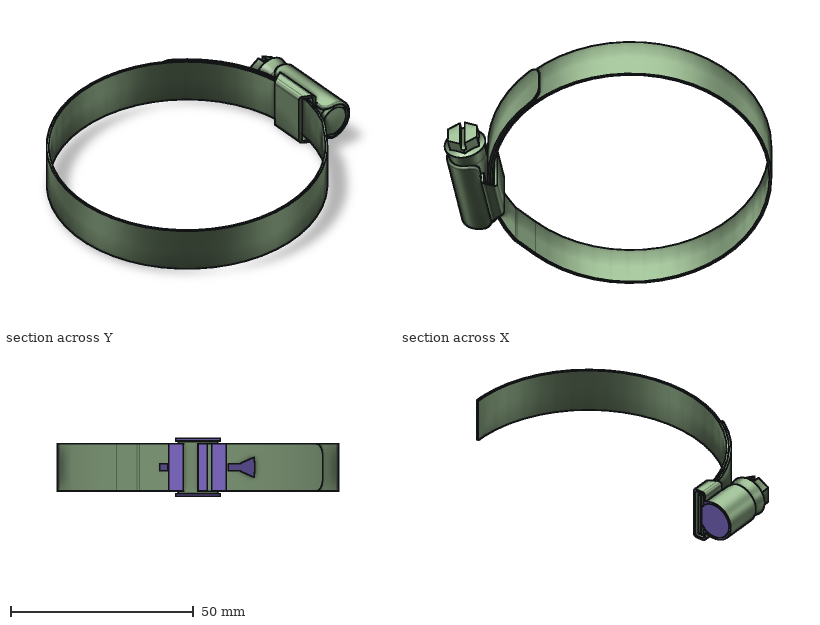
import cadquery as cq
import math


band_width = 13.0
band_thickness = 0.6
ring_outer_radius = 38.5
layer_gap = 0.1
inner_end_angle = 90.0
tail_end_angle = 150.6
straight_start_angle = 54.4
bend_radius = 3.5
tail_corner_radius = 3.5

ring_inner_radius = ring_outer_radius - band_thickness
tail_inner_radius = ring_outer_radius + layer_gap
tail_outer_radius = tail_inner_radius + band_thickness

overall_length = 87.7
dome_radius = 5.9
sheet_thickness = 0.8
dome_length = 23.1
dome_corner_radius = 2.6
dome_edge_radius = 0.5
strap_height = 16.0
strap_top = 40.4
strap_bottom = 36.2
strap_corner_radius = 1.1
strap_top_length = 14.6
strap_bottom_length = 10.0

screw_axis_y = overall_length - ring_outer_radius - dome_radius
screw_radius = dome_radius - sheet_thickness
dome_end_x = dome_length / 2

head_front_x = -19.2
collar_front_x = -16.05
collar_rim_x = -15.35
collar_back_x = -dome_end_x
tip_start_x = 10.4
collar_front_radius = 3.95
collar_rim_radius = 5.7
tip_radius = 4.3
hex_sides = 6
hex_across_flats = 8.1
slot_width = 1.3
slot_depth = 2.2


def polar(radius, angle):
    """Point in the XY plane at an angle in degrees from +X."""
    return (radius * math.cos(math.radians(angle)), radius * math.sin(math.radians(angle)))


def bend_angle(ring_radius, tail_radius):
    """Angle at which the straight stretch, tangent to the ring, reaches the tail circle."""
    return straight_start_angle + math.degrees(math.acos(ring_radius / tail_radius))


def make_band():
    outer_bend = bend_angle(ring_outer_radius, tail_outer_radius)
    inner_bend = bend_angle(ring_inner_radius, tail_inner_radius)
    ring_middle_angle = -90.0
    tail_middle_angle = 110.0
    full_turn = 360.0
    band = (
        cq.Workplane("XY", origin=(0, 0, -band_width / 2))
        .moveTo(*polar(tail_outer_radius, tail_end_angle))
        .threePointArc(polar(tail_outer_radius, tail_middle_angle), polar(tail_outer_radius, outer_bend))
        .lineTo(*polar(ring_outer_radius, straight_start_angle))
        .threePointArc(
            polar(ring_outer_radius, ring_middle_angle),
            polar(ring_outer_radius, inner_end_angle - full_turn),
        )
        .lineTo(*polar(ring_inner_radius, inner_end_angle))
        .threePointArc(
            polar(ring_inner_radius, ring_middle_angle),
            polar(ring_inner_radius, straight_start_angle),
        )
        .lineTo(*polar(tail_inner_radius, inner_bend))
        .threePointArc(polar(tail_inner_radius, tail_middle_angle), polar(tail_inner_radius, tail_end_angle))
        .close()
        .extrude(band_width)
    )

    outer_edge = cq.selectors.NearestToPointSelector((*polar(tail_outer_radius, outer_bend), 0))
    band = band.edges("|Z").edges(outer_edge).fillet(bend_radius + band_thickness)
    inner_edge = cq.selectors.NearestToPointSelector((*polar(tail_inner_radius, inner_bend), 0))
    band = band.edges("|Z").edges(inner_edge).fillet(bend_radius)

    tail_middle_radius = (tail_inner_radius + tail_outer_radius) / 2
    for side in (-1, 1):
        corner = (*polar(tail_middle_radius, tail_end_angle), side * band_width / 2)
        band = band.edges(cq.selectors.NearestToPointSelector(corner)).fillet(tail_corner_radius)
    return band


def along_x(start_x, length, radius):
    """Cylinder on the screw axis."""
    return (
        cq.Workplane("YZ", origin=(start_x, 0, 0))
        .center(screw_axis_y, 0)
        .circle(radius)
        .extrude(length)
    )


def make_dome():
    """Round cover with an open bottom; its lower corners are rounded in side outline."""
    cover_height = overall_length - ring_outer_radius - strap_top
    outline = (
        cq.Workplane("XY")
        .center(0, strap_top + cover_height / 2)
        .rect(dome_length, cover_height)
        .extrude(dome_radius, both=True)
        .edges("|Z and <Y")
        .fillet(dome_corner_radius)
    )
    return along_x(-dome_end_x, dome_length, dome_radius).intersect(outline)


def make_strap():
    """Closed rectangular loop, tapering towards the underside of the band."""
    height_y = strap_top - strap_bottom
    middle_y = (strap_top + strap_bottom) / 2
    loop = (
        cq.Workplane("YZ")
        .center(middle_y, 0)
        .rect(height_y, strap_height)
        .extrude(strap_top_length / 2, both=True)
        .edges("|X")
        .fillet(strap_corner_radius)
    )
    opening = (
        cq.Workplane("YZ")
        .center(middle_y, 0)
        .rect(height_y - 2 * sheet_thickness, strap_height - 2 * sheet_thickness)
        .extrude(strap_top_length / 2, both=True)
        .edges("|X")
        .fillet(strap_corner_radius - sheet_thickness)
    )
    taper = (
        cq.Workplane("XY")
        .polyline([
            (-strap_top_length / 2, strap_top),
            (strap_top_length / 2, strap_top),
            (strap_bottom_length / 2, strap_bottom),
            (-strap_bottom_length / 2, strap_bottom),
        ])
        .close()
        .extrude(strap_height, both=True)
    )
    return loop.cut(opening).intersect(taper)


def is_dome_rim(edge):
    """True for the outer edges at the two ends of the dome, including its rounded corners."""
    tolerance = 0.01
    middle = edge.positionAt(0.5)
    radius = math.hypot(middle.y - screw_axis_y, middle.z)
    beyond_corner_start = abs(middle.x) > dome_end_x - dome_corner_radius
    runs_along_x = edge.geomType() == "LINE"
    return abs(radius - dome_radius) < tolerance and beyond_corner_start and not runs_along_x


def make_housing():
    bore = along_x(-dome_end_x, dome_length, screw_radius)
    housing = make_dome().union(make_strap()).cut(bore)
    rim = [edge for edge in housing.edges().vals() if is_dome_rim(edge)]
    return housing.newObject(rim).fillet(dome_edge_radius)


def make_screw():
    body = (
        cq.Workplane("XY", origin=(0, screw_axis_y, 0))
        .polyline([
            (collar_front_x, 0),
            (collar_front_x, collar_front_radius),
            (collar_rim_x, collar_rim_radius),
            (collar_back_x, screw_radius),
            (tip_start_x, screw_radius),
            (dome_end_x, tip_radius),
            (dome_end_x, 0),
        ])
        .close()
        .revolve(axisStart=(0, 0, 0), axisEnd=(1, 0, 0))
    )

    head = (
        cq.Workplane("YZ", origin=(head_front_x, screw_axis_y, 0))
        .polygon(hex_sides, hex_across_flats, circumscribed=True)
        .extrude(collar_rim_x - head_front_x)
    )
    slot = (
        cq.Workplane("YZ", origin=(head_front_x, screw_axis_y, 0))
        .rect(slot_width, 2 * hex_across_flats)
        .extrude(slot_depth)
    )

    band_envelope = cq.Workplane("XY").circle(tail_outer_radius).extrude(band_width, both=True)
    return body.union(head).cut(slot).cut(band_envelope)


band = make_band()
housing = make_housing()
screw = make_screw()

result = cq.Compound.makeCompound([band.solids().val(), housing.solids().val(), screw.solids().val()])